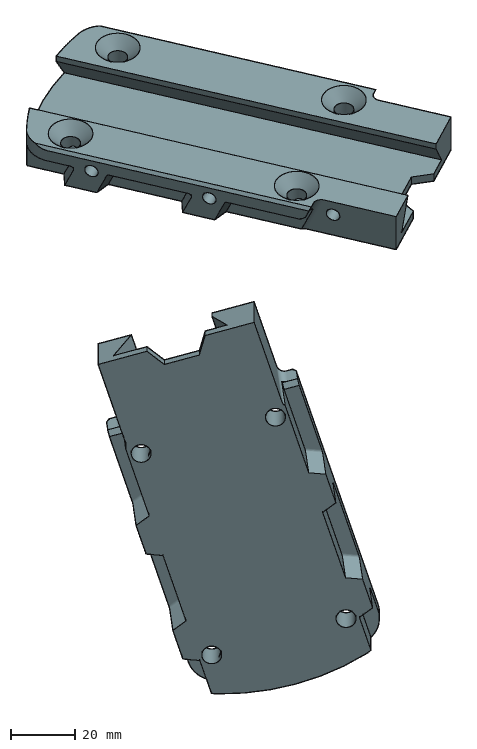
import cadquery as cq
import math

length = 126.7
width = 62.0
height = 13.5
half_width = width / 2
nose_radius = 78.5
corner_radius = 9.8
edge_chamfer = 1.0

lean = math.tan(math.radians(22.5))

neck_half_width = 25.5
shoulder_top_x = 100.2
shoulder_fillet = 2.4

notch_depth = 6.1
notch_inner_half = 5.7
notch_outer_half = 9.5

channel_floor_z = 3.0
lip_land_z = 11.4
left_lip_y = 11.7
left_root_y = 16.6
right_lip_y = -14.6
right_root_y = -20.4

screw_x = (17.6, 92.5)
screw_y = 21.9
screw_diameter = 6.2
countersink_diameter = 14.0
countersink_angle = 90

pitch = 39.0
cross_hole_x = 27.7
cross_hole_z = 8.4
cross_hole_diameter = 4.4
pocket_top_z = 8.4
pocket_depth = 5.0
pocket_corner = 1.0
rib_front_x = 18.9
rib_back_x = 29.5
mouth_relief = 1.3

clearance = 6.3


def make_plate():
    """Plate with an arched nose, blended into straight sides, and chamfered long edges."""
    arch_end_x = nose_radius - math.sqrt(nose_radius**2 - half_width**2)
    plate = (
        cq.Workplane("XY")
        .moveTo(length, -half_width)
        .lineTo(length, half_width)
        .lineTo(arch_end_x, half_width)
        .threePointArc((0, 0), (arch_end_x, -half_width))
        .close()
        .extrude(height)
        .edges("|Z")
        .edges("<X")
        .fillet(corner_radius)
    )
    end_profile = (
        cq.Workplane("YZ")
        .rect(width, 2 * height)
        .extrude(length)
        .edges("|X")
        .edges(">Z")
        .chamfer(edge_chamfer)
    )
    return plate.intersect(end_profile)


def neck_cutter():
    """Material removed beside the neck on the -Y side, with a leaning, filleted shoulder."""
    cutter_end_x = length + clearance
    return (
        cq.Workplane("XZ", origin=(0, -neck_half_width, 0))
        .moveTo(shoulder_top_x - lean * height, 0)
        .lineTo(cutter_end_x, 0)
        .lineTo(cutter_end_x, height)
        .lineTo(shoulder_top_x, height)
        .close()
        .extrude(half_width)
        .faces(">Y")
        .edges("<X")
        .fillet(shoulder_fillet)
    )


def pocket_cutter(front_x, back_x, rounded_ends):
    """Side pocket on the -Y side; its leaning end walls taper inwards with depth."""

    def outline(inset):
        return [
            (front_x + inset, 0),
            (back_x - inset, 0),
            (back_x - inset + lean * pocket_top_z, pocket_top_z),
            (front_x + inset + lean * pocket_top_z, pocket_top_z),
        ]

    pocket = (
        cq.Workplane("XZ", origin=(0, pocket_depth - half_width, 0))
        .polyline(outline(lean * pocket_depth))
        .close()
        .workplane(offset=pocket_depth)
        .polyline(outline(0))
        .close()
        .loft(ruled=True)
    )
    for end in rounded_ends:
        pocket = pocket.faces(">Z").edges(end).fillet(pocket_corner)
    return pocket


def mouth_cutter():
    """Bevel where the ceiling of the rear pocket meets the shoulder."""
    ceiling_x = shoulder_top_x - lean * (height - pocket_top_z)
    return (
        cq.Workplane("XZ", origin=(0, pocket_depth - half_width, 0))
        .moveTo(ceiling_x - mouth_relief, pocket_top_z)
        .lineTo(ceiling_x + 2 * mouth_relief, pocket_top_z)
        .lineTo(ceiling_x + lean * mouth_relief, pocket_top_z + mouth_relief)
        .close()
        .extrude(pocket_depth)
    )


def cross_hole_cutter():
    """Row of three holes through the -Y rail, opening into the dovetail channel."""
    return (
        cq.Workplane("XZ")
        .pushPoints([(cross_hole_x + i * pitch, cross_hole_z) for i in range(3)])
        .circle(cross_hole_diameter / 2)
        .extrude(half_width)
    )


def channel_cutter():
    """Dovetail channel with a short upright land on the +Y lip only."""
    return (
        cq.Workplane("YZ")
        .polyline([
            (left_root_y, channel_floor_z),
            (left_lip_y, lip_land_z),
            (left_lip_y, height),
            (right_lip_y, height),
            (right_root_y, channel_floor_z),
        ])
        .close()
        .extrude(length)
    )


def notch_cutter():
    """Flared notch through the rear edge."""
    return (
        cq.Workplane("XY")
        .polyline([
            (length, notch_outer_half),
            (length - notch_depth, notch_inner_half),
            (length - notch_depth, -notch_inner_half),
            (length, -notch_outer_half),
        ])
        .close()
        .extrude(height)
    )


side_cutters = [
    neck_cutter(),
    pocket_cutter(-clearance, rib_front_x, [">X"]),
    pocket_cutter(rib_back_x, rib_front_x + pitch, [">X", "<X"]),
    pocket_cutter(rib_back_x + pitch, length, ["<X"]),
    mouth_cutter(),
]

result = make_plate()
for cutter in side_cutters:
    result = result.cut(cutter).cut(cutter.mirror("XZ"))
result = result.cut(channel_cutter()).cut(notch_cutter()).cut(cross_hole_cutter())
screw_points = [(x, y) for x in screw_x for y in (-screw_y, screw_y)]
result = (
    result.copyWorkplane(cq.Workplane("XY", origin=(0, 0, height)))
    .pushPoints(screw_points)
    .cskHole(screw_diameter, countersink_diameter, countersink_angle)
)